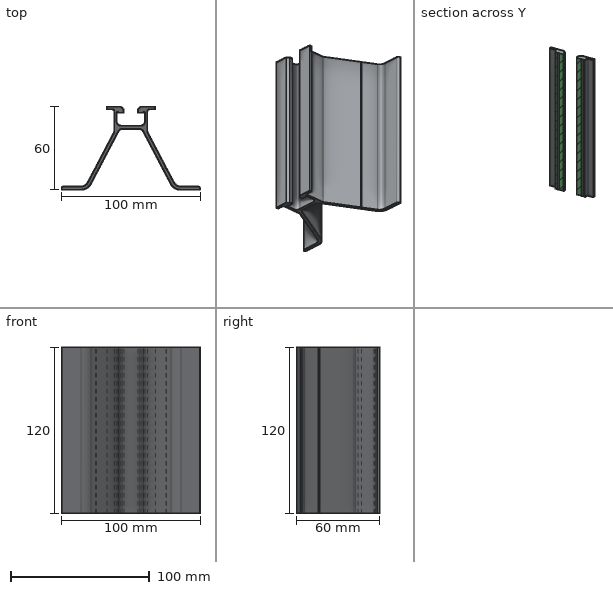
import cadquery as cq
import math

width = 100.0
depth = 60.0
length = 120.0

sheet = 2.5
channel_wall = 1.8
lip_outer_thickness = 1.9
lip_inner_thickness = 4.5

channel_half_width = 12.0
lip_outer_half_width = 17.5
mouth_half_width = 5.2
lip_chamfer = 1.9
channel_depth = 13.5
relief_width = 1.2
relief_height = 0.6

leg_angle = 27.7
leg_start_depth = 18.2

groove_center_depth = 43.9
groove_depth = 0.5

lip_fillet = 1.5
channel_fillet = 3.0
crown_fillet = 3.0
bend_outer_radius = 8.0
bend_inner_radius = bend_outer_radius - sheet
foot_end_top_fillet = 1.5
foot_end_bottom_fillet = 0.6
leg_start_fillet = 2.5

top_y = depth / 2
bottom_y = -depth / 2
foot_top_y = bottom_y + sheet
floor_top_y = top_y - channel_depth
floor_bottom_y = floor_top_y - sheet
leg_start_y = top_y - leg_start_depth
lip_outer_y = top_y - lip_outer_thickness
lip_inner_y = top_y - lip_inner_thickness
channel_inside = channel_half_width - channel_wall
leg_slope = math.tan(math.radians(leg_angle))
leg_width_x = sheet / math.cos(math.radians(leg_angle))


def leg_outer_x(y):
    """Distance from the symmetry plane to the outer face of a leg."""
    return channel_half_width + (leg_start_y - y) * leg_slope


def leg_inner_x(y):
    """Distance from the symmetry plane to the inner face of a leg."""
    return leg_outer_x(y) - leg_width_x


def fillet_at(body, x, y, radius):
    """Round the lengthwise edge that passes through (x, y)."""
    edge = cq.selectors.NearestToPointSelector((x, y, length / 2))
    return body.edges("|Z").edges(edge).fillet(radius)


def sharp_half():
    """Half of the rail on the +X side, with only the relief groove rounded."""
    relief_end = channel_inside - relief_width
    relief_middle = channel_inside - relief_width / 2
    return (
        cq.Workplane("XY")
        .moveTo(0, floor_top_y)
        .lineTo(channel_inside, floor_top_y)
        .lineTo(channel_inside, lip_inner_y)
        .threePointArc((relief_middle, lip_inner_y + relief_height), (relief_end, lip_inner_y))
        .lineTo(mouth_half_width, lip_inner_y)
        .lineTo(mouth_half_width, top_y - lip_chamfer)
        .lineTo(mouth_half_width + lip_chamfer, top_y)
        .lineTo(lip_outer_half_width, top_y)
        .lineTo(lip_outer_half_width, lip_outer_y)
        .lineTo(channel_half_width, lip_outer_y)
        .lineTo(channel_half_width, leg_start_y)
        .lineTo(leg_outer_x(foot_top_y), foot_top_y)
        .lineTo(width / 2, foot_top_y)
        .lineTo(width / 2, bottom_y)
        .lineTo(leg_inner_x(bottom_y), bottom_y)
        .lineTo(leg_inner_x(floor_bottom_y), floor_bottom_y)
        .lineTo(0, floor_bottom_y)
        .close()
        .extrude(length)
    )


def leg_groove():
    """Square bar set on its edge so that it cuts a right-angled V into the outer face of the leg."""
    center_y = top_y - groove_center_depth
    side = groove_depth * math.sqrt(2)
    return (
        cq.Workplane("XY")
        .rect(side, side)
        .extrude(length)
        .rotate((0, 0, 0), (0, 0, 1), 45 + leg_angle)
        .translate((leg_outer_x(center_y), center_y, 0))
    )


rounded_corners = [
    (channel_inside, floor_top_y, channel_fillet),
    (channel_half_width, lip_outer_y, lip_fillet),
    (leg_outer_x(foot_top_y), foot_top_y, bend_inner_radius),
    (leg_inner_x(bottom_y), bottom_y, bend_outer_radius),
    (leg_inner_x(floor_bottom_y), floor_bottom_y, crown_fillet),
    (width / 2, foot_top_y, foot_end_top_fillet),
    (width / 2, bottom_y, foot_end_bottom_fillet),
    (channel_half_width, leg_start_y, leg_start_fillet),
]

half = sharp_half()
for corner_x, corner_y, corner_radius in rounded_corners:
    half = fillet_at(half, corner_x, corner_y, corner_radius)
half = half.cut(leg_groove())

result = half.union(half.mirror("YZ")).clean().translate((0, 0, -length / 2))